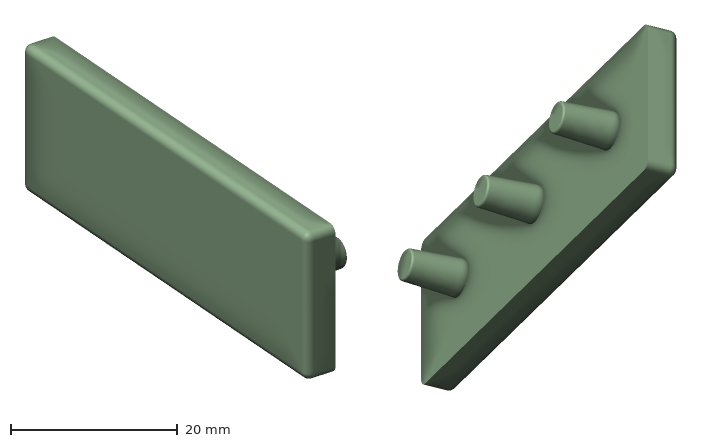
import cadquery as cq

plate_length = 60.0
plate_height = 20.0
plate_thickness = 4.2
edge_radius = 1.0

overall_depth = 11.5
pin_length = overall_depth - plate_thickness
pin_base_diameter = 4.85
pin_tip_diameter = 4.0
pin_tip_radius = 0.3
pin_spacing = plate_length / 3


def make_plate():
    """Rounded plate with a sharp back edge."""
    block = cq.Workplane("XY").box(plate_length, plate_thickness, plate_height)
    block = block.translate((0, -plate_thickness / 2, 0))
    return block.edges("|Y").fillet(edge_radius).faces("<Y").edges().fillet(edge_radius)


def make_pin(x):
    """Tapered pin pointing along +Y, with a rounded tip."""
    cone = cq.Solid.makeCone(
        pin_base_diameter / 2,
        pin_tip_diameter / 2,
        pin_length,
        pnt=cq.Vector(x, 0, 0),
        dir=cq.Vector(0, 1, 0),
    )
    return cq.Workplane(obj=cone).faces(">Y").edges().fillet(pin_tip_radius)


result = make_plate()
for pin_x in (-pin_spacing, 0, pin_spacing):
    result = result.union(make_pin(pin_x))